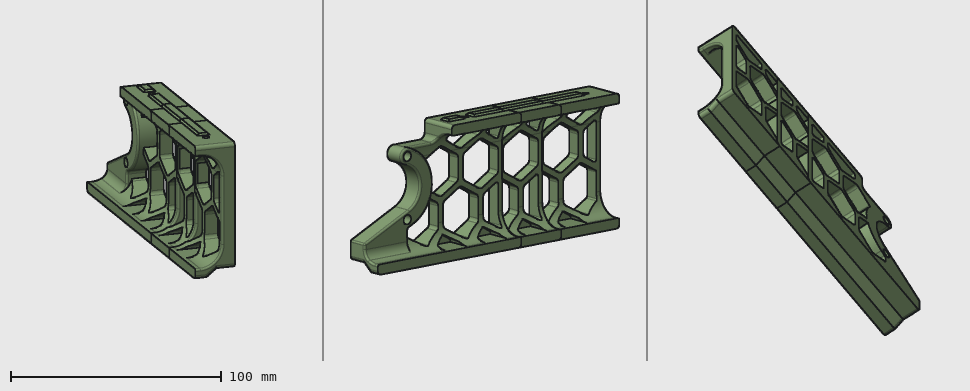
import cadquery as cq
import math

length = 150.5
depth = 20.0
total_height = 67.0
ridge_height = 0.98
plate_top = total_height - ridge_height

flange = 5.1
cove_radius = 10.8
cove_y = 2.4
web_y = cove_y + cove_radius
upper_cove_z = plate_top - flange - cove_radius
lower_cove_z = flange + cove_radius
foot_width = 6.0
heel_y = 11.0
heel_z = 3.9

honeycomb_pitch = 25.0
first_end = 89.4
second_end = first_end + honeycomb_pitch
end_round = 2.0
soft_edge = 1.0

wall = 3.2
hex_flats = honeycomb_pitch - wall
hex_corner = 2.3
clip_corner = 1.0
row_pitch = honeycomb_pitch * math.sqrt(3) / 2
main_row_z = 40.8
joint_column_x = first_end - wall / 2
pocket_flats = 13.4
pocket_peak_z = 10.2
pocket_corner = 0.8
pocket_back_y = 14.0

plate_start = 46.0
bar_top = 56.1
bar_fillet = 3.0
bar_edge = 0.9
arm_y = 10.0
hook_x = 22.7
hook_z = 36.7
hook_inner = 11.9
hook_outer = 20.0
tip_radius = (hook_outer - hook_inner) / 2
screw_x = 26.8
screw_diameter = 4.7
arm_slope = math.radians(24.2)
arm_end_x = 27.2
arm_corner = 1.8
arm_cove = 5.1
arm_cove_y = arm_y - arm_cove
arm_cove_drop = math.sqrt((cove_radius - arm_cove) ** 2 - (arm_cove_y - cove_y) ** 2)
arm_cove_z = lower_cove_z - arm_cove_drop

ridge_y = 10.0
ridge_width = 6.0
short_ridge_start = 50.1
short_ridge_end = 60.0
long_ridge_start = 65.8
long_ridge_end = 134.7
ridge_setback = 5.4
dowel_diameter = 3.2
first_dowel_x = joint_column_x - honeycomb_pitch
last_dowel_x = joint_column_x + 2 * honeycomb_pitch

DIAGONAL = math.sqrt(0.5)


def polar(radius, angle):
    """Point on a circle about the hook centre, in X and Z."""
    return hook_x + radius * math.cos(angle), hook_z + radius * math.sin(angle)


def extrude_y(sketch, y_start, y_end):
    """Extrude an XZ outline from y_start to y_end."""
    return sketch.extrude(-(y_end - y_start)).translate((0, y_start, 0))


def box(x_range, y_range, z_range):
    spans = [high - low for low, high in (x_range, y_range, z_range)]
    return cq.Workplane("XY").box(*spans, centered=False).translate((x_range[0], y_range[0], z_range[0]))


def edge_at(body, point):
    """The edge of a body closest to a point."""
    return body.edges(cq.selectors.NearestToPointSelector(point))


def foot_outline():
    """Start of every cross-section: from the top of the front lip down and under to the back."""
    return (
        cq.Workplane("YZ")
        .moveTo(cove_y, flange)
        .lineTo(0, flange)
        .lineTo(0, 0)
        .lineTo(foot_width, 0)
        .lineTo(heel_y, heel_z)
        .lineTo(depth, heel_z)
    )


def underside_edges(body, x):
    """Edges of the sole, slope and heel at one end of the foot."""
    sole = edge_at(body, (x, foot_width / 2, 0))
    slope = edge_at(body, (x, (foot_width + heel_y) / 2, heel_z / 2))
    heel = edge_at(body, (x, (heel_y + depth) / 2, heel_z))
    return sole.add(slope).add(heel)


def section_bar(x_end):
    """Plain bar of the cross-section with its right end rounded."""
    bar = (
        foot_outline()
        .lineTo(depth, plate_top)
        .lineTo(0, plate_top)
        .lineTo(0, plate_top - flange)
        .lineTo(cove_y, plate_top - flange)
        .threePointArc(
            (cove_y + cove_radius * DIAGONAL, upper_cove_z + cove_radius * DIAGONAL),
            (web_y, upper_cove_z),
        )
        .lineTo(web_y, lower_cove_z)
        .threePointArc(
            (cove_y + cove_radius * DIAGONAL, lower_cove_z - cove_radius * DIAGONAL),
            (cove_y, flange),
        )
        .close()
        .extrude(x_end)
    )
    bar = edge_at(bar, (x_end, depth / 2, plate_top)).fillet(end_round)
    bar = underside_edges(bar, x_end).fillet(end_round)
    return edge_at(bar, (x_end, web_y, plate_top / 2)).fillet(soft_edge)


def hex_prism(x, z, flats, corner, y_end):
    """Hexagonal prism with rounded corners and one corner pointing up."""
    reach = flats / math.sqrt(3)
    corners = []
    for i in range(6):
        angle = math.radians(30 + 60 * i)
        corners.append((x + reach * math.cos(angle), z + reach * math.sin(angle)))
    prism = extrude_y(cq.Workplane("XZ").polyline(corners).close(), 0, y_end)
    return prism.edges("|Y").fillet(corner)


def window(x, z, x_limit):
    """Window kept below the top plate and left of x_limit."""
    prism = hex_prism(x, z, hex_flats, hex_corner, depth)
    z_limit = plate_top - flange
    if x + hex_flats / 2 > x_limit + clip_corner:
        prism = prism.intersect(box((0, x_limit), (0, depth), (0, plate_top)))
        prism = prism.edges("|Y").edges(">X").fillet(clip_corner)
    if z + hex_flats / 2 > z_limit:
        prism = prism.intersect(box((0, length), (0, depth), (0, z_limit)))
        prism = prism.edges("|Y and >Z").fillet(clip_corner)
    return prism


def pocket(x):
    """Blind pocket into the lower cove, with its floor level with the foot's lip."""
    z = pocket_peak_z - pocket_flats / math.sqrt(3)
    prism = hex_prism(x, z, pocket_flats, pocket_corner, pocket_back_y)
    return prism.intersect(box((0, length), (0, depth), (flange, plate_top)))


def cut_honeycomb(body, x_start, x_end):
    """Cut the windows and pockets that lie between x_start and the wall at x_end."""
    x_limit = x_end - wall
    for column in range(-2, 3):
        joint_x = joint_column_x + column * honeycomb_pitch
        main_x = joint_x + honeycomb_pitch / 2
        if x_start < joint_x + hex_flats / 2 and joint_x - hex_flats / 2 < x_limit:
            body = body.cut(window(joint_x, main_row_z - row_pitch, x_limit))
            if joint_x > plate_start:
                body = body.cut(window(joint_x, main_row_z + row_pitch, x_limit))
        if x_start < main_x and main_x - hex_flats / 2 < x_limit:
            body = body.cut(window(main_x, main_row_z, x_limit))
            if main_x < x_limit:
                body = body.cut(pocket(main_x))
    return body


hook_middle = (hook_inner + hook_outer) / 2
tip_angle = math.acos((screw_x - hook_x) / hook_middle)
tip_z = polar(hook_middle, tip_angle)[1]
slope_angle = arm_slope - math.pi / 2


def slope_height(radius, x):
    """Height at x of the sloping line that touches the hook circle of this radius."""
    touch_x, touch_z = polar(radius, slope_angle)
    return touch_z - (touch_x - x) * math.tan(arm_slope)


def bar_with_step(bar):
    """Lower the bar left of the top plate to its flat top and round the end of the plate."""
    fillet_x = plate_start - bar_fillet
    fillet_z = bar_top + bar_fillet
    waste = (
        cq.Workplane("XZ")
        .moveTo(0, bar_top)
        .lineTo(fillet_x, bar_top)
        .threePointArc(
            (fillet_x + bar_fillet * DIAGONAL, fillet_z - bar_fillet * DIAGONAL),
            (plate_start, fillet_z),
        )
        .lineTo(plate_start, total_height)
        .lineTo(0, total_height)
        .close()
    )
    bar = bar.cut(extrude_y(waste, 0, depth))
    bar = edge_at(bar, (plate_start, depth / 2, plate_top)).fillet(end_round)
    return edge_at(bar, (plate_start, 0, plate_top - flange)).fillet(bar_edge)


def left_of_hook():
    """Everything left of the middle of the hook and of the arm's foot."""
    inside_x = arm_end_x - 2 * soft_edge
    outline = (
        cq.Workplane("XZ")
        .moveTo(inside_x, 0)
        .lineTo(inside_x, hook_z - hook_middle)
        .lineTo(*polar(hook_middle, slope_angle))
        .threePointArc(polar(hook_middle, 0), (screw_x, tip_z))
        .lineTo(screw_x, total_height)
        .lineTo(0, total_height)
        .lineTo(0, 0)
        .close()
    )
    return extrude_y(outline, 0, depth)


def arm_foot():
    """Left stretch of the foot, with a cove running up to the arm's front face."""
    angle = math.atan2(arm_cove_drop, arm_cove_y - cove_y)
    touch = (arm_cove_y + arm_cove * math.cos(angle), arm_cove_z - arm_cove * math.sin(angle))
    on_arm_cove = (
        arm_cove_y + arm_cove * math.cos(angle / 2),
        arm_cove_z - arm_cove * math.sin(angle / 2),
    )
    steep = (angle + math.pi / 2) / 2
    on_lower_cove = (
        cove_y + cove_radius * math.cos(steep),
        lower_cove_z - cove_radius * math.sin(steep),
    )
    return (
        foot_outline()
        .lineTo(depth, arm_cove_z)
        .lineTo(arm_y, arm_cove_z)
        .threePointArc(on_arm_cove, touch)
        .threePointArc(on_lower_cove, (cove_y, flange))
        .close()
        .extrude(arm_end_x)
    )


def hook_and_arm():
    """Hook with its sloping arm and foot, standing proud of the web."""
    top_z = slope_height(hook_inner, 0)
    corner_z = slope_height(hook_outer, arm_end_x)
    tip_end = (
        screw_x - tip_radius * math.sin(tip_angle),
        tip_z + tip_radius * math.cos(tip_angle),
    )
    outline = (
        cq.Workplane("XZ")
        .moveTo(0, arm_cove_z)
        .lineTo(0, top_z)
        .lineTo(*polar(hook_inner, slope_angle))
        .threePointArc(polar(hook_inner, 0), polar(hook_inner, tip_angle))
        .threePointArc(tip_end, polar(hook_outer, tip_angle))
        .threePointArc(polar(hook_outer, 0), polar(hook_outer, slope_angle))
        .lineTo(arm_end_x, corner_z)
        .lineTo(arm_end_x, arm_cove_z)
        .close()
    )
    body = extrude_y(outline, arm_y, depth).union(arm_foot())
    middle_y = (arm_y + depth) / 2
    body = edge_at(body, (arm_end_x, middle_y, corner_z)).fillet(arm_corner)
    body = edge_at(body, (0, middle_y, top_z)).fillet(soft_edge)
    body = underside_edges(body, 0).fillet(end_round)
    return edge_at(body, (polar(hook_outer, 0)[0], arm_y, hook_z)).fillet(soft_edge)


def screw_holes():
    heights = [tip_z, 2 * hook_z - tip_z]
    sketch = cq.Workplane("XZ").pushPoints([(screw_x, z) for z in heights]).circle(screw_diameter / 2)
    return extrude_y(sketch, 0, depth)


def ridge(x_start, x_end):
    """Low ridge with sloping sides all round."""
    return (
        cq.Workplane("XY", origin=((x_start + x_end) / 2, ridge_y, plate_top))
        .rect(x_end - x_start, ridge_width)
        .extrude(ridge_height, taper=45)
    )


def long_ridge(x_start, x_end):
    """Stretch of the long ridge that belongs to one module."""
    stretch = box((x_start, x_end), (0, depth), (plate_top, total_height))
    return ridge(long_ridge_start, long_ridge_end).intersect(stretch)


def dowel_hole(x):
    hole = cq.Workplane("XY", origin=(x, ridge_y, upper_cove_z)).circle(dowel_diameter / 2)
    return hole.extrude(cove_radius + flange)


bar_to_first_end = section_bar(first_end)
bar_to_second_end = section_bar(second_end)
first_ridge_end = first_end - ridge_setback
second_ridge_end = second_end - ridge_setback


def build_hook_module():
    body = cut_honeycomb(bar_with_step(bar_to_first_end), 0, first_end)
    body = body.cut(left_of_hook()).union(hook_and_arm()).cut(screw_holes())
    body = body.union(ridge(short_ridge_start, short_ridge_end))
    body = body.union(long_ridge(long_ridge_start, first_ridge_end))
    return body.cut(dowel_hole(first_dowel_x))


def build_middle_module():
    body = cut_honeycomb(bar_to_second_end.cut(bar_to_first_end), first_end, second_end)
    return body.union(long_ridge(first_ridge_end, second_ridge_end))


def build_end_module():
    body = cut_honeycomb(section_bar(length).cut(bar_to_second_end), second_end, length)
    body = body.union(long_ridge(second_ridge_end, long_ridge_end))
    return body.cut(dowel_hole(last_dowel_x))


hook_module = build_hook_module()
middle_module = build_middle_module()
end_module = build_end_module()

result = cq.Compound.makeCompound([hook_module.val(), middle_module.val(), end_module.val()])